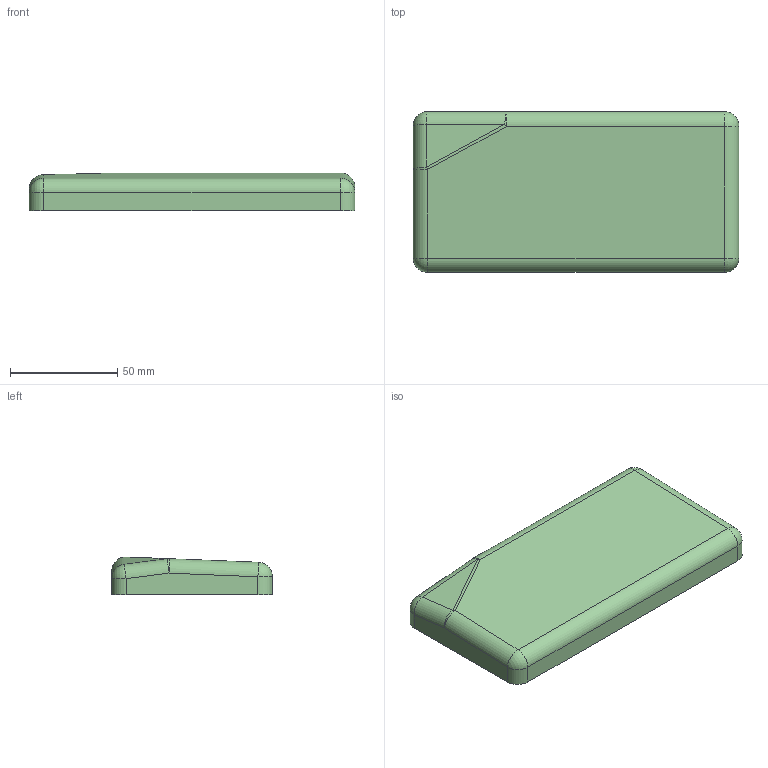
import cadquery as cq

length = 152.0
width = 75.0
front_height = 15.0
back_height = 18.0

facet_length = 55.0
facet_width = 30.0
facet_drop = 5.0

edge_radius = 6.75

left = -length / 2
front = -width / 2
back = width / 2
top_slope = (back_height - front_height) / width


def top_height(y):
    """Height of the sloped top face at a given Y."""
    return front_height + top_slope * (y - front)


def make_block():
    """Block with a sloped top, its base on Z = 0 and centred in X and Y."""
    side_profile = [(front, 0), (back, 0), (back, back_height), (front, front_height)]
    return cq.Workplane("YZ", origin=(left, 0, 0)).polyline(side_profile).close().extrude(length)


def make_facet_cutter():
    """Tetrahedron between the top face and the facet plane at the back left corner."""
    facet_front = back - facet_width
    side_end = cq.Vector(left, facet_front, top_height(facet_front))
    back_end = cq.Vector(left + facet_length, back, back_height)
    upper_corner = cq.Vector(left, back, back_height)
    lower_corner = cq.Vector(left, back, back_height - facet_drop)

    triangles = [
        (side_end, back_end, upper_corner),
        (side_end, lower_corner, back_end),
        (side_end, upper_corner, lower_corner),
        (back_end, lower_corner, upper_corner),
    ]
    faces = [cq.Face.makeFromWires(cq.Wire.makePolygon(points, close=True)) for points in triangles]
    return cq.Workplane(cq.Solid.makeSolid(cq.Shell.makeShell(faces)))


body = make_block().cut(make_facet_cutter())
result = body.edges("not <Z").fillet(edge_radius)